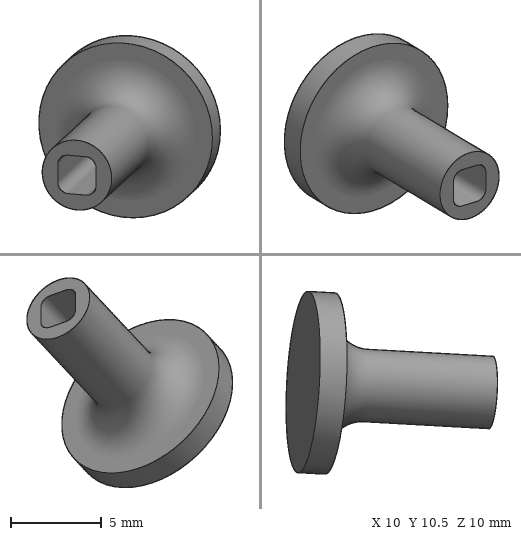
import cadquery as cq

overall_length = 10.5
head_diameter = 10.0
head_thickness = 1.5
stem_diameter = 4.0
flare_radius = 2.01
socket_width = 2.2
socket_corner_radius = 0.6
socket_depth = 6.0

head_radius = head_diameter / 2
stem_radius = stem_diameter / 2
head_front = overall_length - head_thickness
flare_start = head_front - flare_radius


def make_body():
    """Revolve the stem, its concave flare and the disc head about Y."""
    profile = (
        cq.Workplane("XY")
        .lineTo(stem_radius, 0)
        .lineTo(stem_radius, flare_start)
        .radiusArc((stem_radius + flare_radius, head_front), flare_radius)
        .lineTo(head_radius, head_front)
        .lineTo(head_radius, overall_length)
        .lineTo(0, overall_length)
        .close()
    )
    return profile.revolve(360, (0, 0), (0, 1))


def make_socket():
    """Blind square socket with rounded corners, entering the stem end at Y = 0."""
    return (
        cq.Workplane("XZ")
        .rect(socket_width, socket_width)
        .extrude(-socket_depth)
        .edges("|Y")
        .fillet(socket_corner_radius)
    )


result = make_body().cut(make_socket())